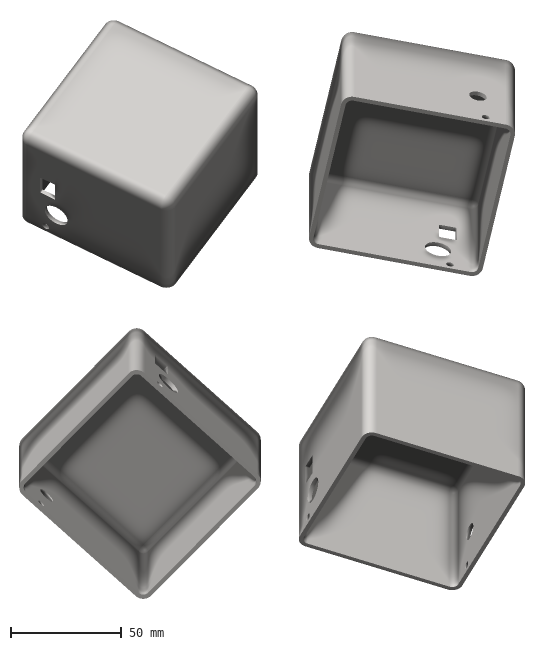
import cadquery as cq

side = 80.0
height = 63.0
edge_radius = 5.0
wall = 2.0

window_width = 8.0
window_height = 11.2
window_corner_radius = 0.5
window_x = -24.5
window_z = 32.5

front_hole_diameter = 12.0
front_hole_x = -20.0
front_hole_z = 15.5
back_hole_diameter = 8.0
back_hole_x = -22.0
back_hole_z = 21.5
screw_hole_diameter = 3.5
screw_hole_x = -25.5
screw_hole_z = 3.5


def rounded_block(block_side, block_height, radius):
    """Square block on Z = 0 with its upright and top edges rounded."""
    block = cq.Workplane("XY").rect(block_side, block_side).extrude(block_height)
    return block.edges("|Z or >Z").fillet(radius)


def plane_at(y):
    """Workplane at the given Y with axes X and Z; negative extrusions run toward +Y."""
    return cq.Workplane(cq.Plane(origin=(0, y, 0), xDir=(1, 0, 0), normal=(0, -1, 0)))


def cylinder_along_y(x, z, diameter, y_start, length):
    """Cylinder that runs from y_start toward +Y."""
    return plane_at(y_start).center(x, z).circle(diameter / 2).extrude(-length)


front_y = -side / 2
back_inner_y = side / 2 - wall


def front_window():
    cutter = plane_at(front_y).center(window_x, window_z)
    cutter = cutter.rect(window_width, window_height).extrude(-wall)
    return cutter.edges("|Y").fillet(window_corner_radius)


cavity = rounded_block(side - 2 * wall, height - wall, edge_radius - wall)
result = rounded_block(side, height, edge_radius).cut(cavity)

result = result.cut(front_window())
result = result.cut(cylinder_along_y(front_hole_x, front_hole_z, front_hole_diameter, front_y, wall))
result = result.cut(cylinder_along_y(back_hole_x, back_hole_z, back_hole_diameter, back_inner_y, wall))
result = result.cut(cylinder_along_y(screw_hole_x, screw_hole_z, screw_hole_diameter, front_y, side))